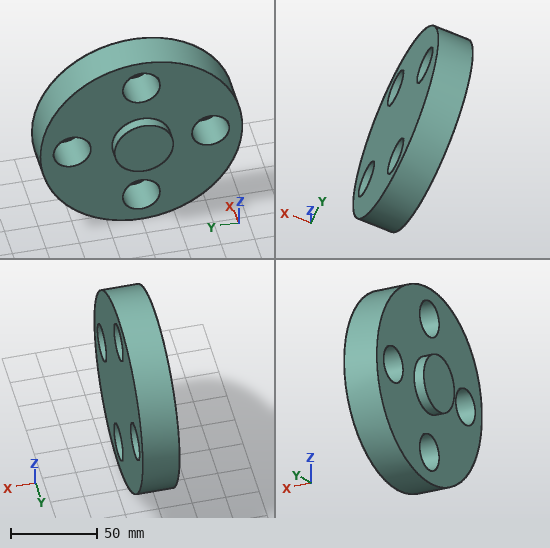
import cadquery as cq

flange_diameter = 120.6
overall_thickness = 28.6
boss_height = 6.5
flange_thickness = overall_thickness - boss_height
boss_diameter = 35.0

bolt_hole_count = 4
bolt_hole_diameter = 22.2
bolt_circle_diameter = 82.6


def make_flange():
    """Plain disc with its -X face at X = 0."""
    return cq.Workplane("YZ").circle(flange_diameter / 2).extrude(flange_thickness)


def make_boss():
    """Round boss standing out from the disc toward -X."""
    return cq.Workplane("YZ").circle(boss_diameter / 2).extrude(-boss_height)


def make_bolt_holes():
    """Cutters for the through holes, spaced evenly on the bolt circle."""
    return (
        cq.Workplane("YZ")
        .polarArray(bolt_circle_diameter / 2, 0, 360, bolt_hole_count)
        .circle(bolt_hole_diameter / 2)
        .extrude(flange_thickness)
    )


result = make_flange().union(make_boss()).cut(make_bolt_holes())